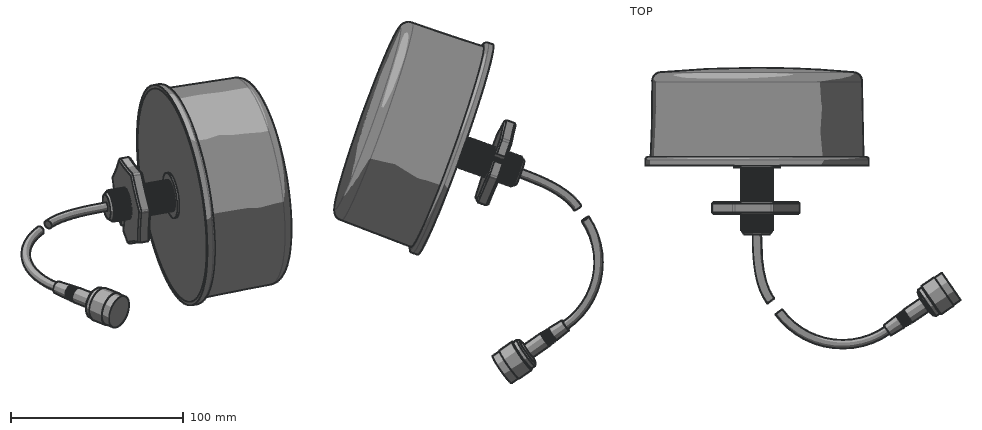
import cadquery as cq
import math


RIM_DIAMETER = 130.0
RIM_RADIUS = RIM_DIAMETER / 2
RIM_HEIGHT = 5.1
RIM_FILLET = 1.8
WALL_FOOT_RADIUS = 62.0
SHOULDER_RADIUS = 61.1
SHOULDER_HEIGHT = 48.6
CROWN_EDGE_RADIUS = 56.1
CROWN_EDGE_HEIGHT = 54.3
DOME_HEIGHT = 56.9

PLATE_RADIUS = 63.0
PLATE_THICKNESS = RIM_HEIGHT - RIM_FILLET

WASHER_RADIUS = 13.4
WASHER_THICKNESS = 1.3

STUD_RADIUS = 9.4
STUD_LENGTH = 40.2
STUD_TIP_RADIUS = 7.3
STUD_CHAMFER_LENGTH = 2.5
THREAD_PITCH = 0.66
THREAD_DEPTH = 1.0

NUT_SIDES = 7
NUT_CORNER_RADIUS = 26.6
NUT_THICKNESS = 7.2
NUT_GAP = 21.1
NUT_FIRST_CORNER = 18.9
NUT_SIDE_HOLLOW = 0.65
NUT_CORNER_FILLET = 1.7
NUT_CHAMFER = 1.1
SLOT_WIDTH = 4.2
SLOTTED_SIDE = 4

CABLE_RADIUS = 2.5
LEAD_END_X = 8.0
LEAD_END_Y = -78.7
LEAD_END_ANGLE = 37.0
LOOP_BEND_RADIUS = 45.9
LOOP_LOWEST_X = 49.7
LOOP_LOWEST_Y = -103.8
LOOP_START_ANGLE = 54.0
LOOP_END_ANGLE = 34.5

SLEEVE_START_RADIUS = 3.7
SLEEVE_END_RADIUS = 4.2
SLEEVE_LENGTH = 9.0
TUBE_RADIUS = 4.5
TUBE_LENGTH = 11.5
RIB_COUNT = 4
RIB_PITCH = 1.38
RIB_DEPTH = 0.4
CONNECTOR_BODY_LENGTH = SLEEVE_LENGTH + RIB_COUNT * RIB_PITCH + TUBE_LENGTH

COUPLING_BACK_RADIUS = 8.3
COUPLING_COLLAR_RADIUS = 9.4
COUPLING_GRIP_RADIUS = 10.0
COUPLING_NOSE_RADIUS = 9.7
COUPLING_CONE_LENGTH = 1.0
COUPLING_CHAMFER_LENGTH = 1.1
COUPLING_COLLAR_LENGTH = 2.4
COUPLING_STEP_LENGTH = 0.5
COUPLING_GRIP_LENGTH = 9.0
COUPLING_NOSE_LENGTH = 5.1


def disc(radius, thickness, start_y=0.0):
    """A disc on the Y axis that runs from start_y toward +Y."""
    return cq.Workplane("XZ", origin=(0, start_y, 0)).circle(radius).extrude(-thickness)


def revolve_about_y(profile):
    return profile.close().revolve(360, (0, 0, 0), (0, 1, 0))


def make_dome():
    shoulder_rise = CROWN_EDGE_HEIGHT - SHOULDER_HEIGHT
    shoulder_run = SHOULDER_RADIUS - CROWN_EDGE_RADIUS
    diagonal = math.sqrt(0.5)
    shoulder_middle = (
        CROWN_EDGE_RADIUS + shoulder_run * diagonal,
        SHOULDER_HEIGHT + shoulder_rise * diagonal,
    )
    profile = (
        cq.Workplane("XY")
        .lineTo(RIM_RADIUS, 0)
        .lineTo(RIM_RADIUS, RIM_HEIGHT - RIM_FILLET)
        .radiusArc((RIM_RADIUS - RIM_FILLET, RIM_HEIGHT), -RIM_FILLET)
        .lineTo(WALL_FOOT_RADIUS, RIM_HEIGHT)
        .lineTo(SHOULDER_RADIUS, SHOULDER_HEIGHT)
        .threePointArc(shoulder_middle, (CROWN_EDGE_RADIUS, CROWN_EDGE_HEIGHT))
    )
    crown_rise = DOME_HEIGHT - CROWN_EDGE_HEIGHT
    crown_sphere_radius = (CROWN_EDGE_RADIUS**2 + crown_rise**2) / (2 * crown_rise)
    profile = profile.radiusArc((0, DOME_HEIGHT), -crown_sphere_radius)
    return revolve_about_y(profile).cut(make_base_plate())


def make_base_plate():
    return disc(PLATE_RADIUS, PLATE_THICKNESS)


def make_washer():
    washer = disc(WASHER_RADIUS, WASHER_THICKNESS, -WASHER_THICKNESS)
    return washer.cut(disc(STUD_RADIUS, WASHER_THICKNESS, -WASHER_THICKNESS))


def make_stud():
    envelope = revolve_about_y(
        cq.Workplane("XY")
        .lineTo(STUD_RADIUS, 0)
        .lineTo(STUD_RADIUS, STUD_CHAMFER_LENGTH - STUD_LENGTH)
        .lineTo(STUD_TIP_RADIUS, -STUD_LENGTH)
        .lineTo(0, -STUD_LENGTH)
    )
    ridge_count = math.ceil((STUD_LENGTH - WASHER_THICKNESS) / THREAD_PITCH)
    profile = cq.Workplane("XY").lineTo(STUD_RADIUS, 0).lineTo(STUD_RADIUS, -WASHER_THICKNESS)
    for ridge in range(ridge_count):
        ridge_start = -WASHER_THICKNESS - ridge * THREAD_PITCH
        profile = profile.lineTo(STUD_RADIUS - THREAD_DEPTH, ridge_start - THREAD_PITCH / 2)
        profile = profile.lineTo(STUD_RADIUS, ridge_start - THREAD_PITCH)
    profile = profile.lineTo(0, -WASHER_THICKNESS - ridge_count * THREAD_PITCH)
    return revolve_about_y(profile).intersect(envelope)


def make_nut():
    step = 360 / NUT_SIDES

    def polar(radius, degrees):
        angle = math.radians(degrees)
        return radius * math.cos(angle), radius * math.sin(angle)

    side_middle_radius = NUT_CORNER_RADIUS * math.cos(math.radians(step / 2)) - NUT_SIDE_HOLLOW
    front_y = -NUT_GAP - NUT_THICKNESS
    plane = cq.Workplane("XZ", origin=(0, -NUT_GAP, 0))
    outline = plane.moveTo(*polar(NUT_CORNER_RADIUS, NUT_FIRST_CORNER))
    for side in range(NUT_SIDES):
        corner = NUT_FIRST_CORNER + side * step
        outline = outline.threePointArc(
            polar(side_middle_radius, corner + step / 2),
            polar(NUT_CORNER_RADIUS, corner + step),
        )
    nut = outline.close().extrude(NUT_THICKNESS)
    nut = nut.edges("|Y").fillet(NUT_CORNER_FILLET)
    nut = nut.faces("<Y or >Y").edges().chamfer(NUT_CHAMFER)
    nut = nut.cut(disc(STUD_RADIUS, NUT_THICKNESS, front_y))

    slot_angle = NUT_FIRST_CORNER + (SLOTTED_SIDE + 0.5) * step
    slot = (
        plane.transformed(rotate=(0, 0, slot_angle))
        .center(NUT_CORNER_RADIUS / 2, 0)
        .rect(NUT_CORNER_RADIUS, SLOT_WIDTH)
        .extrude(NUT_THICKNESS)
    )
    return nut.cut(slot)


def make_lead_cable():
    """The cable that leaves the stud along -Y and curves toward +X."""
    end_angle = math.radians(LEAD_END_ANGLE)
    path = cq.Workplane("XY").spline(
        [(0, -STUD_LENGTH), (LEAD_END_X, LEAD_END_Y)],
        tangents=[(0, -1), (math.sin(end_angle), -math.cos(end_angle))],
    )
    section = cq.Workplane("XZ", origin=(0, -STUD_LENGTH, 0)).circle(CABLE_RADIUS)
    return section.sweep(path)


def make_loop_cable():
    """The cable that sags from its free end and rises to the connector."""
    lowest = cq.Workplane("YZ", origin=(LOOP_LOWEST_X, LOOP_LOWEST_Y, 0)).circle(CABLE_RADIUS)
    loop = lowest.revolve(
        LOOP_START_ANGLE + LOOP_END_ANGLE, (LOOP_BEND_RADIUS, 0, 0), (LOOP_BEND_RADIUS, 1, 0)
    )
    center = (LOOP_LOWEST_X, LOOP_LOWEST_Y + LOOP_BEND_RADIUS, 0)
    return loop.rotate(center, (center[0], center[1], 1), -LOOP_START_ANGLE)


def place_on_loop_end(body):
    """Move a body that points along +X from the origin to the raised end of the loop cable."""
    angle = math.radians(LOOP_END_ANGLE)
    end_x = LOOP_LOWEST_X + LOOP_BEND_RADIUS * math.sin(angle)
    end_y = LOOP_LOWEST_Y + LOOP_BEND_RADIUS * (1 - math.cos(angle))
    return body.rotate((0, 0, 0), (0, 0, 1), LOOP_END_ANGLE).translate((end_x, end_y, 0))


def make_connector_body():
    profile = (
        cq.Workplane("XY")
        .lineTo(0, SLEEVE_START_RADIUS)
        .lineTo(SLEEVE_LENGTH, SLEEVE_END_RADIUS)
    )
    for rib in range(RIB_COUNT):
        rib_start = SLEEVE_LENGTH + rib * RIB_PITCH
        crest = SLEEVE_END_RADIUS + (TUBE_RADIUS - SLEEVE_END_RADIUS) * (rib + 1) / RIB_COUNT
        profile = profile.lineTo(rib_start + RIB_PITCH / 2, crest - RIB_DEPTH)
        profile = profile.lineTo(rib_start + RIB_PITCH, crest)
    profile = profile.lineTo(CONNECTOR_BODY_LENGTH, TUBE_RADIUS).lineTo(CONNECTOR_BODY_LENGTH, 0)
    return place_on_loop_end(profile.close().revolve(360, (0, 0, 0), (1, 0, 0)))


def make_coupling_nut():
    profile = (
        cq.Workplane("XY")
        .moveTo(CONNECTOR_BODY_LENGTH, 0)
        .line(0, TUBE_RADIUS)
        .line(COUPLING_CONE_LENGTH, COUPLING_BACK_RADIUS - TUBE_RADIUS)
        .line(COUPLING_CHAMFER_LENGTH, COUPLING_COLLAR_RADIUS - COUPLING_BACK_RADIUS)
        .line(COUPLING_COLLAR_LENGTH, 0)
        .line(COUPLING_STEP_LENGTH, COUPLING_GRIP_RADIUS - COUPLING_COLLAR_RADIUS)
        .line(COUPLING_GRIP_LENGTH, 0)
        .line(0, COUPLING_NOSE_RADIUS - COUPLING_GRIP_RADIUS)
        .line(COUPLING_NOSE_LENGTH, 0)
        .line(0, -COUPLING_NOSE_RADIUS)
    )
    return place_on_loop_end(profile.close().revolve(360, (0, 0, 0), (1, 0, 0)))


dome = make_dome()
base_plate = make_base_plate()
washer = make_washer()
stud = make_stud()
nut = make_nut()
lead_cable = make_lead_cable()
loop_cable = make_loop_cable()
connector_body = make_connector_body()
coupling_nut = make_coupling_nut()

result = cq.Compound.makeCompound(
    [
        dome.val(),
        base_plate.val(),
        washer.val(),
        stud.val(),
        nut.val(),
        lead_cable.val(),
        loop_cable.val(),
        connector_body.val(),
        coupling_nut.val(),
    ]
)